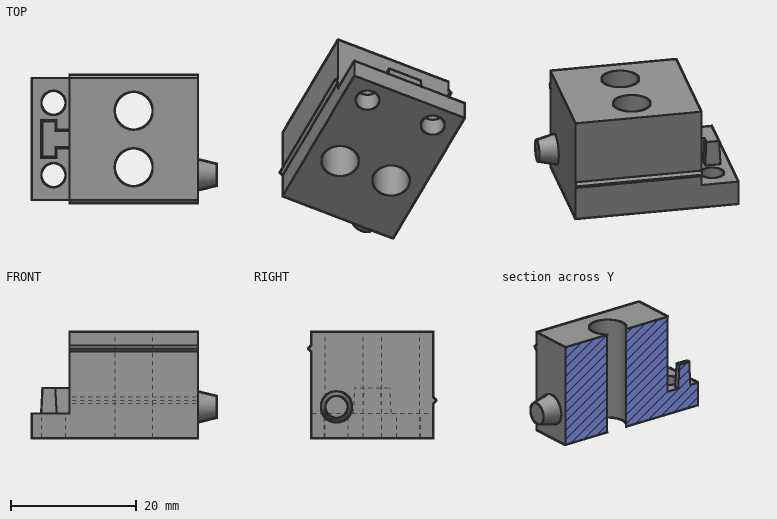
import cadquery as cq
import math

total_length = 29.5
body_end = 26.52
foot_length = 6.02
width = 19.5
height = 17.0
foot_height = 3.98

bore_diameter = 6.0
bore_x = 16.25
bore_pitch = 9.0
screw_diameter = 3.8
screw_x = 3.48
screw_pitch = 11.5

key_start = 1.5
key_bar_depth = 2.48
key_bar_width = 6.02
key_stem_width = 3.0
key_height = 4.05
key_top_inset = 0.2
key_draft = math.degrees(math.atan(key_top_inset / key_height))

ridge_height = 0.5
front_ridge_z = 14.3
rear_ridge_z = 6.05

peg_base_diameter = 5.0
peg_tip_diameter = 3.5
peg_y = -5.7
peg_z = 5.02


def make_block():
    return (
        cq.Workplane("XZ", origin=(0, width / 2, 0))
        .moveTo(0, 0)
        .lineTo(body_end, 0)
        .lineTo(body_end, height)
        .lineTo(foot_length, height)
        .lineTo(foot_length, foot_height)
        .lineTo(0, foot_height)
        .close()
        .extrude(width)
    )


def make_hole_pair(x, pitch, diameter):
    return (
        cq.Workplane("XY")
        .pushPoints([(x, -pitch / 2), (x, pitch / 2)])
        .circle(diameter / 2)
        .extrude(height)
    )


def make_drafted_bar(start_x, end_x, bar_width):
    return (
        cq.Workplane("XY", origin=((start_x + end_x) / 2, 0, foot_height))
        .rect(end_x - start_x, bar_width)
        .extrude(key_height, taper=key_draft)
    )


def make_key():
    crossbar = make_drafted_bar(key_start, key_start + key_bar_depth, key_bar_width)
    stem_start = key_start + key_bar_depth / 2
    stem_end = foot_length + 2 * key_top_inset
    stem = make_drafted_bar(stem_start, stem_end, key_stem_width)
    return crossbar.union(stem)


def make_ridge(side, apex_z):
    """V ridge with 45 degree flanks; side is +1 or -1 along Y."""
    face_y = side * width / 2
    return (
        cq.Workplane("YZ", origin=(foot_length, 0, 0))
        .moveTo(face_y, apex_z - ridge_height)
        .lineTo(face_y + side * ridge_height, apex_z)
        .lineTo(face_y, apex_z + ridge_height)
        .close()
        .extrude(body_end - foot_length)
    )


def make_peg():
    return (
        cq.Workplane("YZ", origin=(body_end, 0, 0))
        .center(peg_y, peg_z)
        .circle(peg_base_diameter / 2)
        .workplane(offset=total_length - body_end)
        .circle(peg_tip_diameter / 2)
        .loft()
    )


result = (
    make_block()
    .union(make_key())
    .union(make_ridge(-1, front_ridge_z))
    .union(make_ridge(1, rear_ridge_z))
    .union(make_peg())
    .cut(make_hole_pair(bore_x, bore_pitch, bore_diameter))
    .cut(make_hole_pair(screw_x, screw_pitch, screw_diameter))
)